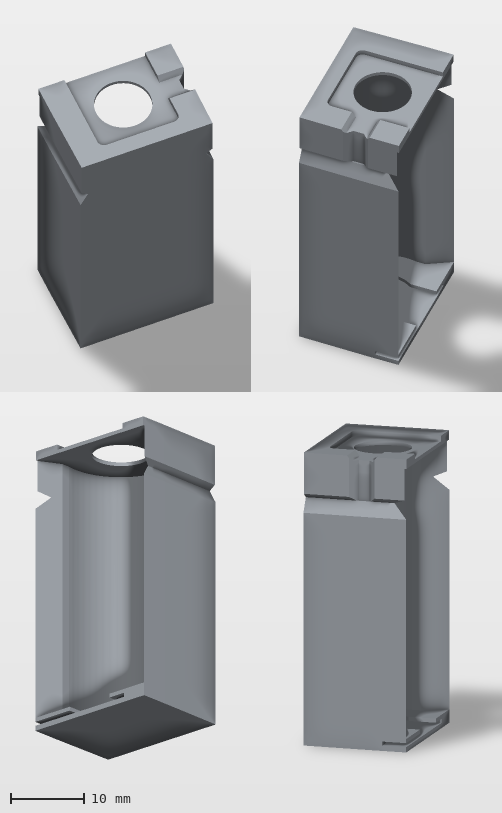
import cadquery as cq

LENGTH = 14.75
WIDTH = 20.05
HEIGHT = 41.0
HALF_WIDTH = WIDTH / 2
OVERCUT = 0.4

DRAFT_START = 4.25
DRAFT_INSET = 0.12
HEAD_INSET = 0.15

GROOVE_TOP = 35.2
GROOVE_APEX = 34.55
GROOVE_BOTTOM = 32.58
GROOVE_DEPTH = 1.1

CAVITY_X = 6.3
CAVITY_RADIUS = 8.28
CAVITY_FLOOR = 1.9
CAVITY_ROOF = 39.65
FLARE_LENGTH = 3.45
SIDE_WALL = 1.9

HOLE_X = 6.45
TOP_HOLE_DIAMETER = 8.0
RECESS_DEPTH = 0.78
RECESS_LENGTH = 12.45
RECESS_WIDTH = 12.0
RECESS_RADIUS = 1.0
CHANNEL_TOP_WIDTH = 4.22
CHANNEL_FLOOR_WIDTH = 2.95
NOTCH_OUTER_WIDTH = 4.05
NOTCH_INNER_WIDTH = 1.55
NOTCH_DEPTH = 1.35

SLOT_BOTTOM = 0.75
SLOT_TOP = 1.3
SLOT_LENGTH = 12.7
SLOT_WIDTH = 12.55
SLOT_RADIUS = 1.23
SIDE_CHANNEL_LENGTH = 8.55
ENTRY_WIDTH = 7.35
FLOOR_HOLE_RADIUS = 4.45


def box(x_start, x_end, y_start, y_end, z_start, z_end):
    """Axis-aligned box between two opposite corners."""
    size = (x_end - x_start, y_end - y_start, z_end - z_start)
    return cq.Workplane("XY").box(*size, centered=False).translate((x_start, y_start, z_start))


def body_section(side_inset, z):
    """Closed outer outline at height z, with both sides moved in by side_inset."""
    front_half = HALF_WIDTH - side_inset
    back_half = front_half - DRAFT_INSET
    return cq.Workplane("XY").workplane(offset=z).polyline([
        (0, -front_half),
        (DRAFT_START, -front_half),
        (LENGTH, -back_half),
        (LENGTH, back_half),
        (DRAFT_START, front_half),
        (0, front_half),
    ]).close()


def body_between(lower_inset, lower_z, upper_inset, upper_z):
    """Ruled block between two outer outlines."""
    lower = body_section(lower_inset, lower_z).wire().val()
    upper = body_section(upper_inset, upper_z).wire().val()
    return cq.Workplane(cq.Solid.makeLoft([lower, upper], True))


def outer_body():
    base = body_section(0, 0).extrude(GROOVE_BOTTOM)
    groove_lower = body_between(0, GROOVE_BOTTOM, GROOVE_DEPTH, GROOVE_APEX)
    groove_upper = body_between(GROOVE_DEPTH, GROOVE_APEX, HEAD_INSET, GROOVE_TOP)
    head = body_section(HEAD_INSET, GROOVE_TOP).extrude(HEIGHT - GROOVE_TOP)
    return base.union(groove_lower).union(groove_upper).union(head)


def cavity():
    """Round bore reached through a mouth that flares to the full width."""
    depth = CAVITY_ROOF - CAVITY_FLOOR
    throat = HALF_WIDTH - SIDE_WALL
    floor = cq.Workplane("XY").workplane(offset=CAVITY_FLOOR)
    mouth = floor.polyline([
        (0, -HALF_WIDTH),
        (FLARE_LENGTH, -throat),
        (CAVITY_X, -throat),
        (CAVITY_X, throat),
        (FLARE_LENGTH, throat),
        (0, HALF_WIDTH),
    ]).close().extrude(depth)
    bore = floor.center(CAVITY_X, 0).circle(CAVITY_RADIUS).extrude(depth)
    bore = bore.intersect(box(FLARE_LENGTH, LENGTH, -WIDTH, WIDTH, 0, HEIGHT))
    return mouth.union(bore)


def open_pocket(length, width, radius, z_start, z_end):
    """Pocket open at -X with rounded inner corners."""
    half = width / 2
    pocket = box(-OVERCUT, length, -half, half, z_start, z_end)
    return pocket.edges("|Z and >X").fillet(radius)


def top_recess():
    recess_floor = HEIGHT - RECESS_DEPTH
    recess = open_pocket(RECESS_LENGTH, RECESS_WIDTH, RECESS_RADIUS, recess_floor, HEIGHT)
    hole = (
        cq.Workplane("XY").workplane(offset=CAVITY_ROOF).center(HOLE_X, 0)
        .circle(TOP_HOLE_DIAMETER / 2).extrude(HEIGHT - CAVITY_ROOF)
    )
    return recess.union(hole)


def wire_channel():
    """Sloped-sided channel across the +Y rim and a notch down to the groove."""
    recess_floor = HEIGHT - RECESS_DEPTH
    recess_side = RECESS_WIDTH / 2
    channel = cq.Workplane("XZ", origin=(HOLE_X, HALF_WIDTH, 0)).polyline([
        (-CHANNEL_FLOOR_WIDTH / 2, recess_floor),
        (CHANNEL_FLOOR_WIDTH / 2, recess_floor),
        (CHANNEL_TOP_WIDTH / 2, HEIGHT),
        (-CHANNEL_TOP_WIDTH / 2, HEIGHT),
    ]).close().extrude(HALF_WIDTH - recess_side)
    notch = cq.Workplane("XY", origin=(HOLE_X, 0, GROOVE_APEX)).polyline([
        (-NOTCH_OUTER_WIDTH / 2, HALF_WIDTH),
        (NOTCH_OUTER_WIDTH / 2, HALF_WIDTH),
        (NOTCH_INNER_WIDTH / 2, HALF_WIDTH - NOTCH_DEPTH),
        (-NOTCH_INNER_WIDTH / 2, HALF_WIDTH - NOTCH_DEPTH),
    ]).close().extrude(HEIGHT - GROOVE_APEX)
    return channel.union(notch)


def floor_slot():
    """Hidden slot, open at -X and stepped out through the +Y wall."""
    throat = HALF_WIDTH - SIDE_WALL
    slot = open_pocket(SLOT_LENGTH, SLOT_WIDTH, SLOT_RADIUS, SLOT_BOTTOM, SLOT_TOP)
    inner_step = box(-OVERCUT, SIDE_CHANNEL_LENGTH, 0, throat, SLOT_BOTTOM, SLOT_TOP)
    outer_step = box(-OVERCUT, FLARE_LENGTH, 0, HALF_WIDTH + OVERCUT, SLOT_BOTTOM, SLOT_TOP)
    return slot.union(inner_step).union(outer_step)


def floor_opening():
    """Keyhole through the cavity floor into the slot."""
    half = ENTRY_WIDTH / 2
    entry = box(-OVERCUT, HOLE_X, -half, half, SLOT_TOP, CAVITY_FLOOR)
    hole = (
        cq.Workplane("XY").workplane(offset=SLOT_TOP).center(HOLE_X, 0)
        .circle(FLOOR_HOLE_RADIUS).extrude(CAVITY_FLOOR - SLOT_TOP)
    )
    return entry.union(hole)


result = outer_body()
for cutter in (cavity(), top_recess(), wire_channel(), floor_slot(), floor_opening()):
    result = result.cut(cutter)